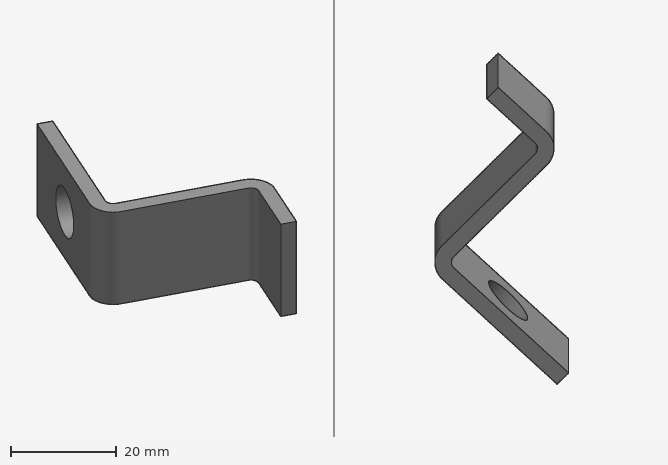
import cadquery as cq

length = 49.2
depth = 34.95
height = 20.6

thickness = 3.15
inner_radius = 1.57
outer_radius = inner_radius + thickness

web_right = 34.95
web_left = web_right - thickness

hole_diameter = 10.35
hole_x = 15.95


def bent_strip():
    """Z-shaped sheet profile extruded upward, with both bends rounded."""
    strip = (
        cq.Workplane("XY")
        .moveTo(0, 0)
        .lineTo(web_right, 0)
        .lineTo(web_right, depth - thickness)
        .lineTo(length, depth - thickness)
        .lineTo(length, depth)
        .lineTo(web_left, depth)
        .lineTo(web_left, thickness)
        .lineTo(0, thickness)
        .close()
        .extrude(height)
    )
    outer_corners = [(web_right, 0), (web_left, depth)]
    inner_corners = [(web_left, thickness), (web_right, depth - thickness)]
    for corners, radius in ((outer_corners, outer_radius), (inner_corners, inner_radius)):
        for x, y in corners:
            edge = cq.selectors.NearestToPointSelector((x, y, height / 2))
            strip = strip.edges("|Z").edges(edge).fillet(radius)
    return strip


def flange_hole():
    """Cylinder along Y that pierces the front flange only."""
    return (
        cq.Workplane("XZ")
        .center(hole_x, height / 2)
        .circle(hole_diameter / 2)
        .extrude(-thickness)
    )


result = bent_strip().cut(flange_hole())